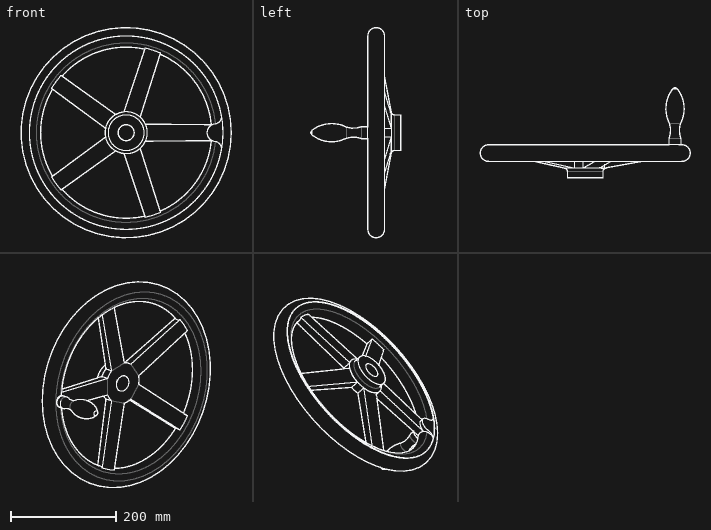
import cadquery as cq
import math


rim_section_radius = 16.0
rim_outer_radius = 200.0
rim_center_radius = rim_outer_radius - rim_section_radius
rim_inner_radius = 162.5
rim_back = rim_section_radius
groove_step = 1.5
groove_outer_front = -rim_section_radius + groove_step
groove_inner_radius = 170.8
groove_inner_front = -10.0
rim_inner_crest = 1.5
rim_inner_back = 2 * rim_inner_crest - groove_inner_front

spoke_root_thickness = 17.5
hub_front = -47.0
collar_front = -28.8
hub_back = collar_front + spoke_root_thickness
nose_radius = 34.0
collar_radius = 40.0
bore_radius = 30.0 / 2
hub_cove = collar_radius - nose_radius

spoke_count = 5
spoke_root_width = 32.8
spoke_tip_width = 30.8
spoke_tip_thickness = 14.5
spoke_tip_radius = 168.0
spoke_tip_front = -5.0
spoke_root_radius = math.sqrt(collar_radius**2 - (spoke_root_width / 2) ** 2)

handle_radius_from_axis = 170.8
boss_radius = 16.8
boss_flare_radius = 14.0
boss_front = groove_outer_front
pin_radius = 22.0 / 2
pin_end = 16.8
base_radius = 11.5
base_end = 27.5
neck_radius = 8.8
neck_position = 40.0
grip_start = 56.5
grip_start_radius = 10.8
grip_radius = 17.5
grip_widest = 87.5
tip_radius = 4.8
tip_start = 122.0
handle_end = 124.8


def turned(profile, axis_x=0.0):
    """Revolve an XY profile about the line parallel to Y at X = axis_x."""
    return profile.close().revolve(360, (axis_x, 0, 0), (axis_x, 1, 0))


def make_rim():
    """Rim rounded outside and inside, with a step and a sloping face inside its front crest."""
    profile = (
        cq.Workplane("XY")
        .moveTo(rim_center_radius, -rim_section_radius)
        .threePointArc((rim_outer_radius, 0), (rim_center_radius, rim_back))
        .lineTo(groove_inner_radius, rim_inner_back)
        .threePointArc((rim_inner_radius, rim_inner_crest), (groove_inner_radius, groove_inner_front))
        .lineTo(rim_center_radius, groove_outer_front)
    )
    return turned(profile)


def make_hub():
    """Collar narrowing to a round nose through a concave cove."""
    cove_end = collar_front - hub_cove
    cove_reach = hub_cove * (1 - math.sqrt(0.5))
    profile = (
        cq.Workplane("XY")
        .moveTo(0, hub_front)
        .lineTo(nose_radius, hub_front)
        .lineTo(nose_radius, cove_end)
        .threePointArc(
            (nose_radius + cove_reach, collar_front - cove_reach),
            (collar_radius, collar_front),
        )
        .lineTo(collar_radius, hub_back)
        .lineTo(0, hub_back)
    )
    return turned(profile)


def make_spoke():
    """Sloping bar along +X that tapers in width towards the rim."""
    side = (
        cq.Workplane("XY")
        .moveTo(0, collar_front)
        .lineTo(spoke_root_radius, collar_front)
        .lineTo(spoke_tip_radius, spoke_tip_front)
        .lineTo(spoke_tip_radius, spoke_tip_front + spoke_tip_thickness)
        .lineTo(spoke_root_radius, hub_back)
        .lineTo(0, hub_back)
        .close()
        .extrude(spoke_root_width, both=True)
    )
    root = spoke_root_width / 2
    tip = spoke_tip_width / 2
    outline = (
        cq.Workplane("XZ")
        .polyline([(0, -root), (spoke_root_radius, -root), (spoke_tip_radius, -tip),
                   (spoke_tip_radius, tip), (spoke_root_radius, root), (0, root)])
        .close()
        .extrude(rim_outer_radius, both=True)
    )
    return side.intersect(outline)


def make_boss():
    """Flat-faced round boss blended into the groove wall by a concave flare on each side."""
    center_x = handle_radius_from_axis
    to_axis = rim_center_radius - boss_flare_radius
    to_boss = boss_radius + boss_flare_radius
    flare_x = (to_axis**2 - to_boss**2 + center_x**2) / (2 * center_x)
    flare_z = math.sqrt(to_axis**2 - flare_x**2)
    wall_x = flare_x * rim_center_radius / to_axis
    wall_z = flare_z * rim_center_radius / to_axis
    boss_x = center_x + (flare_x - center_x) * boss_radius / to_boss
    boss_z = flare_z * boss_radius / to_boss
    bisector_x = (wall_x + boss_x) / 2 - flare_x
    bisector_z = (wall_z + boss_z) / 2 - flare_z
    reach = boss_flare_radius / math.hypot(bisector_x, bisector_z)
    mid_x = flare_x + bisector_x * reach
    mid_z = flare_z + bisector_z * reach
    return (
        cq.Workplane("XZ")
        .moveTo(wall_x, wall_z)
        .threePointArc((mid_x, mid_z), (boss_x, boss_z))
        .threePointArc((center_x - boss_radius, 0), (boss_x, -boss_z))
        .threePointArc((mid_x, -mid_z), (wall_x, -wall_z))
        .threePointArc((rim_center_radius, 0), (wall_x, wall_z))
        .close()
        .extrude(-boss_front)
    )


def make_handle():
    """Turned handle with a short base, a waisted neck and a bulbous grip."""
    x = handle_radius_from_axis
    profile = (
        cq.Workplane("XY")
        .moveTo(x, 0)
        .lineTo(x + pin_radius, 0)
        .lineTo(x + pin_radius, pin_end)
        .lineTo(x + base_radius, pin_end)
        .lineTo(x + base_radius, base_end)
        .threePointArc((x + neck_radius, neck_position), (x + grip_start_radius, grip_start))
        .threePointArc((x + grip_radius, grip_widest), (x + tip_radius, tip_start))
        .lineTo(x, handle_end)
    )
    return turned(profile, x)


wheel = make_rim().union(make_hub())
for index in range(spoke_count):
    angle = index * 360 / spoke_count
    wheel = wheel.union(make_spoke().rotate((0, 0, 0), (0, 1, 0), angle))
wheel = wheel.union(make_boss()).union(make_handle())
bore = cq.Workplane("XZ").circle(bore_radius).extrude(rim_outer_radius, both=True)
result = wheel.cut(bore)